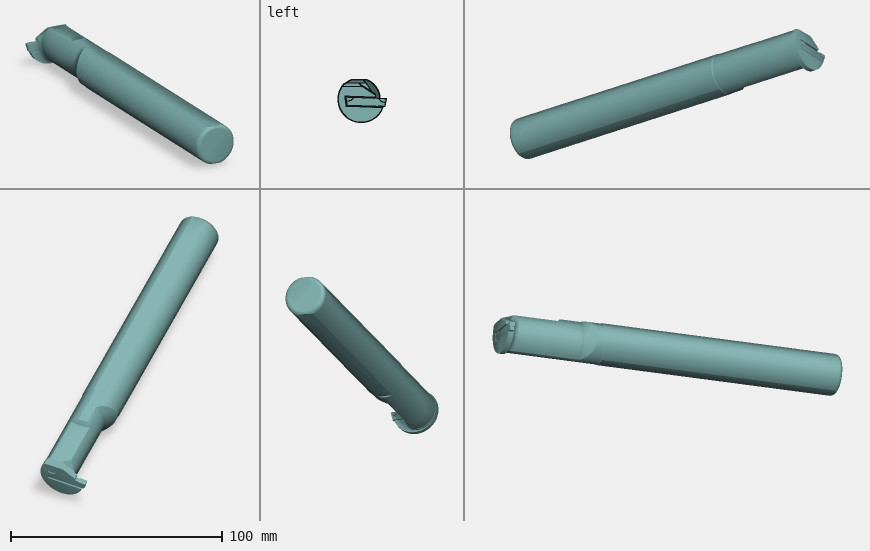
import math

import cadquery as cq

total_length = 170.02

shank_radius = 10.0
shank_start = 50.1
shank_flat_height = 9.29
tail_fillet = 2.0

neck_radius = 9.77
shank_taper_length = 0.5
relief_radius = 12.0
relief_axis_y = 5.9
relief_end = 39.75
relief_runout_angle = 30.0
head_flare = 0.9

neck_flat_height = 7.62
neck_flat_end = 27.9

head_radius = 11.0
head_center_y = -1.0
head_thickness = 2.7
head_bevel_front_height = 6.1
head_bevel_length = 3.2

gash_front_top = cq.Vector(0, -1.45, head_bevel_front_height)
gash_ridge_top = cq.Vector(head_bevel_length, 0.2, neck_flat_height)
gash_ridge_bottom = cq.Vector(head_bevel_length, -6.0, 3.6)
gash_neck_corner = cq.Vector(5.7, -3.26, neck_flat_height)
gash_wall_y = -7.66

insert_top_length = 19.22
insert_bottom_length = 17.9
insert_height = 3.8
insert_thickness = head_thickness
insert_top_y = -3.4
insert_top_z = 0.66
insert_tilt = 2.0
insert_clearance = 0.5

pad_rise = 0.4
pad_length = 3.8
pad_mid_inset = 2.4
pad_mid_depth = 1.5
pad_end_depth = 1.9

clear = 30.0


def rod(radius, start, end, center_y=0.0):
    """Cylinder along X."""
    return cq.Workplane("YZ", origin=(start, center_y, 0)).circle(radius).extrude(end - start)


def block(x_range, y_range, z_range):
    """Axis-aligned box between pairs of limits."""
    ranges = (x_range, y_range, z_range)
    size = [high - low for low, high in ranges]
    low_corner = cq.Vector(*[low for low, high in ranges])
    return cq.Workplane(obj=cq.Solid.makeBox(*size, low_corner))


def make_shank():
    """Round bar with its lower flat; the upper flat is cut later along with the neck's."""
    shank = rod(shank_radius, shank_start, total_length).faces(">X").edges().fillet(tail_fillet)
    below = block((shank_start, total_length), (-clear, clear), (-clear, -shank_flat_height))
    return shank.cut(below)


def make_neck():
    """Collar, neck and taper turned about X, kept inside the off-centre relief round."""
    collar_end = head_thickness + head_flare
    bar = (
        cq.Workplane("XZ")
        .lineTo(0, -shank_radius)
        .lineTo(collar_end, -shank_radius)
        .lineTo(collar_end, -neck_radius)
        .lineTo(shank_start - shank_taper_length, -neck_radius)
        .lineTo(shank_start, -shank_radius)
        .lineTo(shank_start, 0)
        .close()
        .revolve(360, (0, 0, 0), (1, 0, 0))
    )
    runout_rise = relief_radius
    runout_length = runout_rise / math.tan(math.radians(relief_runout_angle))
    envelope = (
        cq.Workplane("XY")
        .lineTo(0, relief_radius + head_flare)
        .lineTo(head_thickness, relief_radius + head_flare)
        .lineTo(collar_end, relief_radius)
        .lineTo(relief_end, relief_radius)
        .lineTo(relief_end + runout_length, relief_radius + runout_rise)
        .lineTo(relief_end + runout_length, 0)
        .close()
        .revolve(360, (0, 0, 0), (1, 0, 0))
        .translate((0, relief_axis_y, 0))
    )
    return bar.intersect(envelope)


def make_top_cut():
    """Material above the shank flat, the ramp, the neck flat and the bevel at the head."""
    ramp_run = shank_flat_height - neck_flat_height
    return (
        cq.Workplane("XZ", origin=(0, clear, 0))
        .moveTo(0, head_bevel_front_height)
        .lineTo(head_bevel_length, neck_flat_height)
        .lineTo(neck_flat_end, neck_flat_height)
        .lineTo(neck_flat_end + ramp_run, shank_flat_height)
        .lineTo(total_length, shank_flat_height)
        .lineTo(total_length, clear)
        .lineTo(0, clear)
        .close()
        .extrude(2 * clear)
    )


def half_space(point_a, point_b, point_c):
    """Large block filling the upper side of the plane through three points."""
    normal = (point_b - point_a).cross(point_c - point_a)
    if normal.z < 0:
        normal = normal * -1
    plane = cq.Plane(origin=point_a.toTuple(), normal=normal.toTuple())
    return cq.Workplane(plane).rect(4 * clear, 4 * clear).extrude(2 * clear)


def make_chip_gash():
    """Notch between the sloping gash floor and the wall rising to the neck."""
    slope = half_space(gash_front_top, gash_ridge_top, gash_ridge_bottom)
    back_wall = half_space(gash_ridge_top, gash_neck_corner, gash_ridge_bottom)
    return slope.intersect(back_wall)


def tilted(body):
    """Turn a body about the middle of the insert's top edge."""
    pivot = (0, insert_top_y, insert_top_z)
    axis_end = (1, insert_top_y, insert_top_z)
    return body.rotate(pivot, axis_end, insert_tilt)


def insert_outline(start):
    """Untilted insert trapezoid in a plane across X."""
    half_top = insert_top_length / 2
    half_bottom = insert_bottom_length / 2
    corners = [
        (-half_top, 0),
        (half_top, 0),
        (half_bottom, -insert_height),
        (-half_bottom, -insert_height),
    ]
    plane = cq.Workplane("YZ", origin=(start, insert_top_y, insert_top_z))
    return plane.polyline(corners).close()


def make_insert_pocket():
    """Pocket with clearance around the insert, which rests on its floor."""
    outline = insert_outline(0).offset2D(insert_clearance, "intersection")
    return tilted(outline.extrude(insert_thickness))


def make_pad(side):
    """Full-thickness pad at one end of the insert: side is -1 for the cutting tip, 1 for the far end."""
    half_top = insert_top_length / 2
    end_slope = (insert_top_length - insert_bottom_length) / 2 / insert_height
    corners = [
        (half_top, 0),
        (half_top - pad_length, 0),
        (half_top - pad_mid_inset, -pad_mid_depth),
        (half_top - pad_end_depth * end_slope, -pad_end_depth),
    ]
    plane = cq.Workplane("YZ", origin=(0, insert_top_y, insert_top_z))
    return plane.polyline([(side * y, z) for y, z in corners]).close().extrude(insert_thickness)


def make_insert():
    """Insert plate with a pad at each end."""
    plate_thickness = insert_thickness - 2 * pad_rise
    plate = insert_outline(pad_rise).extrude(plate_thickness)
    for side in (-1, 1):
        plate = plate.union(make_pad(side))
    return tilted(plate)


head = rod(head_radius, 0, head_thickness, head_center_y)
gash_wall_cut = block((0, head_thickness), (-clear, gash_wall_y), (0, clear))
holder = make_shank().union(make_neck()).union(head)
holder = holder.cut(make_top_cut()).cut(make_chip_gash())
holder = holder.cut(gash_wall_cut).cut(make_insert_pocket())

insert = make_insert()

result = cq.Compound.makeCompound([holder.val(), insert.val()])